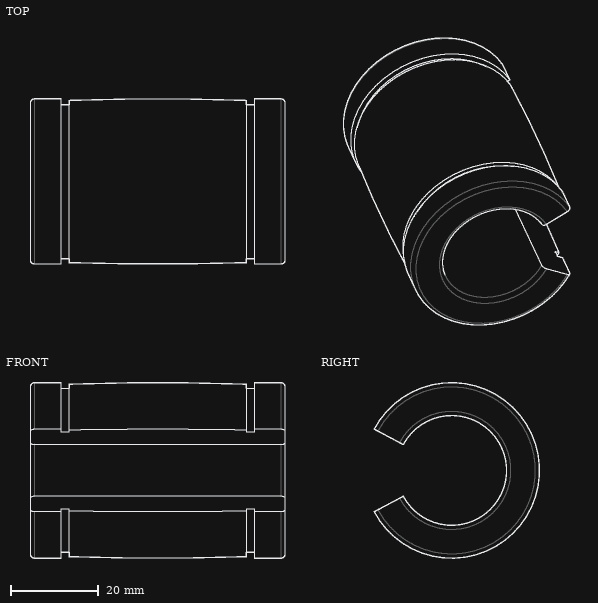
import cadquery as cq
import math

length = 58.0
outer_radius = 20.0
bore_radius = 12.45
edge_fillet = 1.0

groove_radius = 18.7
groove_width = 1.8
collar_width = 7.0

barrel_end_radius = 19.65

opening_angle = 56.0

half_length = length / 2
groove_outer_x = half_length - collar_width
groove_inner_x = groove_outer_x - groove_width


def sleeve():
    """Revolve the wall section, then round the bore and rim edges at both ends."""
    section = (
        cq.Workplane("XY")
        .moveTo(-half_length, bore_radius)
        .lineTo(-half_length, outer_radius)
        .lineTo(-groove_outer_x, outer_radius)
        .lineTo(-groove_outer_x, groove_radius)
        .lineTo(-groove_inner_x, groove_radius)
        .lineTo(-groove_inner_x, barrel_end_radius)
        .threePointArc((0, outer_radius), (groove_inner_x, barrel_end_radius))
        .lineTo(groove_inner_x, groove_radius)
        .lineTo(groove_outer_x, groove_radius)
        .lineTo(groove_outer_x, outer_radius)
        .lineTo(half_length, outer_radius)
        .lineTo(half_length, bore_radius)
        .close()
    )
    body = section.revolve(360, (0, 0, 0), (1, 0, 0))
    return body.faces("<X or >X").edges("%CIRCLE").fillet(edge_fillet)


def opening():
    """Wedge with its tip on the axis, cutting radial faces through the -Y wall."""
    reach = 2 * outer_radius
    half_height = reach * math.tan(math.radians(opening_angle / 2))
    return (
        cq.Workplane("YZ")
        .polyline([(0, 0), (-reach, half_height), (-reach, -half_height)])
        .close()
        .extrude(length, both=True)
    )


result = sleeve().cut(opening())